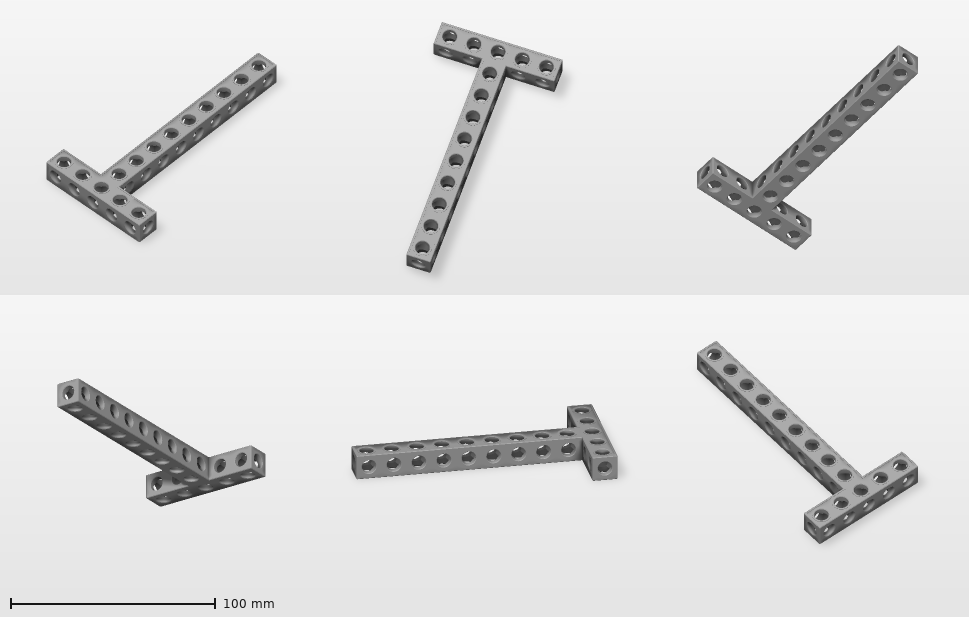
import cadquery as cq

pitch = 12.5
cross_cells = 5
total_cells = 10
bore_diameter = 7.0
ring_diameter = 9.2
border_width = 1.1
recess_depth = 0.2
edge_chamfer = 0.3
bore_chamfer = 0.3
stem_side_shift = 0.5

cross_length = cross_cells * pitch
total_length = total_cells * pitch
half = pitch / 2
cross_x = [(i - (cross_cells - 1) / 2) * pitch for i in range(cross_cells)]
row_y = [half + i * pitch for i in range(total_cells)]
stem_side_pitch = pitch - stem_side_shift / (total_cells - 2)
stem_side_y = [row_y[-1] - i * stem_side_pitch for i in range(total_cells - 1)]


def tee(inset, height):
    """T-shaped prism standing on Z = 0, its outline moved inwards by inset."""
    end_x = cross_length / 2 - inset
    stem_x = half - inset
    bar_y = pitch - inset
    stem_end_y = total_length - inset
    return (
        cq.Workplane("XY")
        .moveTo(-end_x, inset)
        .lineTo(end_x, inset)
        .lineTo(end_x, bar_y)
        .lineTo(stem_x, bar_y)
        .lineTo(stem_x, stem_end_y)
        .lineTo(-stem_x, stem_end_y)
        .lineTo(-stem_x, bar_y)
        .lineTo(-end_x, bar_y)
        .close()
        .extrude(height)
    )


def chamfered_body():
    """Solid tee with its edges broken, the two upright inner corners left sharp."""
    sharp_tee = tee(0, pitch)
    outer_uprights = sharp_tee.edges("|Z").edges("<X or >X or >Y")
    return outer_uprights.chamfer(edge_chamfer).edges(">Z or <Z").chamfer(edge_chamfer)


def vertical_centres():
    crossbar = [(x, half) for x in cross_x]
    stem = [(0, y) for y in row_y[1:]]
    return crossbar + stem


def recess():
    """Sunken field of the top face, leaving the border and the bore rings."""
    floor = cq.Workplane("XY").workplane(offset=pitch - recess_depth)
    rings = floor.pushPoints(vertical_centres()).circle(ring_diameter / 2).extrude(recess_depth)
    return tee(border_width, recess_depth).translate((0, 0, pitch - recess_depth)).cut(rings)


def bore(start, direction, length):
    """Through-bore cutter flared at both ends to chamfer its mouths."""
    radius = bore_diameter / 2
    mouth_radius = radius + bore_chamfer
    axis = cq.Vector(*direction)
    begin = cq.Vector(*start)
    end = begin + axis * length
    shank = cq.Solid.makeCylinder(radius, length, begin, axis)
    entry = cq.Solid.makeCone(mouth_radius, radius, bore_chamfer, begin, axis)
    leave = cq.Solid.makeCone(mouth_radius, radius, bore_chamfer, end, axis * -1)
    return shank.fuse(entry, leave)


def all_bores():
    vertical = [bore((x, y, 0), (0, 0, 1), pitch) for x, y in vertical_centres()]
    crossbar_front = [bore((x, 0, half), (0, 1, 0), pitch) for x in cross_x if x != 0]
    stem_lengthwise = [bore((0, 0, half), (0, 1, 0), total_length)]
    crossbar_lengthwise = [bore((-cross_length / 2, half, half), (1, 0, 0), cross_length)]
    stem_side = [bore((-half, y, half), (1, 0, 0), pitch) for y in stem_side_y]
    return vertical + crossbar_front + stem_lengthwise + crossbar_lengthwise + stem_side


body = chamfered_body().cut(recess())
for cutter in all_bores():
    body = body.cut(cq.Workplane(cutter))

result = cq.Workplane(body.solids().val())